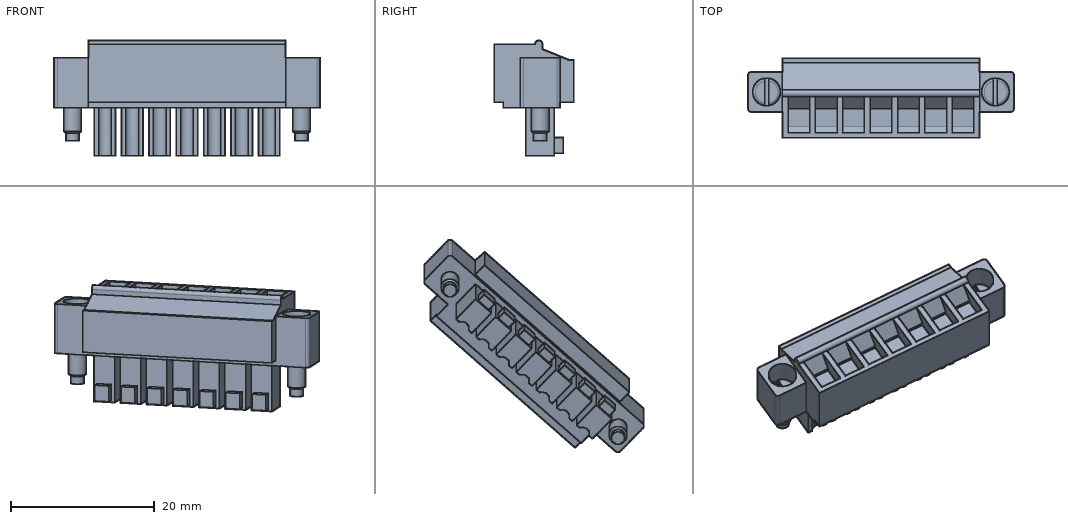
import cadquery as cq

OVERLAP = 0.2

TOTAL_LENGTH = 37.05
BLOCK_LENGTH = 27.45
BLOCK_FRONT = -6.4
BLOCK_BACK = 4.7
BLOCK_TOP = 8.9
UNDERCUT_HEIGHT = 0.78
FOOT_FRONT = -5.15

LEDGE_HEIGHT = 6.67
LEDGE_DEPTH = 0.63
SLOPE_TOP = 8.2
RIB_RADIUS = 0.52
RIB_Y = -0.2

FLANGE_WIDTH = 5.6
FLANGE_HEIGHT = 7.0
FLANGE_CORNER = 0.5

POLE_COUNT = 7
POLE_ROW_LENGTH = 22.85
POLE_PITCH = POLE_ROW_LENGTH / (POLE_COUNT - 1)
POLE_WIDTH = 3.0

FUNNEL_FRONT = -5.7
FUNNEL_FRONT_SLOPE = 0.93
FUNNEL_FRONT_RISE = 0.25
FUNNEL_BACK = RIB_Y - RIB_RADIUS
FUNNEL_BACK_SLOPE = 1.63
FUNNEL_SLOPE_BOTTOM = 7.05
FUNNEL_FLOOR = 6.65

LEG_DEPTH = 4.0
LEG_LENGTH = 6.67
GROOVE_RADIUS = 1.0
GROOVE_WIDTH = 1.78
LUG_WIDTH = 2.0
LUG_LENGTH = 1.22
LUG_HEIGHT = 2.22
LUG_BOTTOM = -6.35

SCREW_X = 15.95
HEAD_DIAMETER = 3.85
HEAD_HEIGHT = 1.5
HEAD_SEAT = 2.0
HEAD_ROUNDING = 0.35
DRIVE_WIDTH = 0.55
DRIVE_DEPTH = 0.75
SHANK_DIAMETER = 2.5
SHANK_BOTTOM = -3.25
TIP_DIAMETER = 1.85
TIP_TOP = -3.52
TIP_BOTTOM = -4.6

POLE_POSITIONS = [i * POLE_PITCH - POLE_ROW_LENGTH / 2 for i in range(POLE_COUNT)]
SCREW_POSITIONS = [-SCREW_X, SCREW_X]


def box(x_range, y_range, z_range):
    """Plain box between the given limits."""
    (x0, x1), (y0, y1), (z0, z1) = x_range, y_range, z_range
    return cq.Workplane("XY").box(x1 - x0, y1 - y0, z1 - z0, centered=False).translate((x0, y0, z0))


def cylinder(x, diameter, bottom, top):
    """Upright cylinder on a screw axis."""
    return cq.Workplane("XY", origin=(x, 0, bottom)).circle(diameter / 2).extrude(top - bottom)


def make_block():
    """Main block with lower steps, sloping rear and rounded rib, drawn in YZ."""
    foot_back = FLANGE_WIDTH / 2
    return (
        cq.Workplane("YZ")
        .moveTo(FOOT_FRONT, 0)
        .lineTo(FOOT_FRONT, UNDERCUT_HEIGHT)
        .lineTo(BLOCK_FRONT, UNDERCUT_HEIGHT)
        .lineTo(BLOCK_FRONT, BLOCK_TOP)
        .lineTo(RIB_Y - RIB_RADIUS, BLOCK_TOP)
        .threePointArc((RIB_Y, BLOCK_TOP + RIB_RADIUS), (RIB_Y + RIB_RADIUS, BLOCK_TOP))
        .lineTo(RIB_Y + RIB_RADIUS, SLOPE_TOP)
        .lineTo(BLOCK_BACK - LEDGE_DEPTH, LEDGE_HEIGHT)
        .lineTo(BLOCK_BACK, LEDGE_HEIGHT)
        .lineTo(BLOCK_BACK, UNDERCUT_HEIGHT)
        .lineTo(foot_back, UNDERCUT_HEIGHT)
        .lineTo(foot_back, 0)
        .close()
        .extrude(BLOCK_LENGTH / 2, both=True)
    )


def make_flanges():
    """Bar through the block whose round-cornered ends are the two flanges."""
    return (
        cq.Workplane("XY")
        .rect(TOTAL_LENGTH, FLANGE_WIDTH)
        .extrude(FLANGE_HEIGHT)
        .edges("|Z")
        .fillet(FLANGE_CORNER)
    )


def make_funnel(x):
    """Cutter for one wire funnel: steep rear slope, short drop, floor and front slope."""
    floor_front = FUNNEL_FRONT + FUNNEL_FRONT_SLOPE
    slope_foot = FUNNEL_BACK - FUNNEL_BACK_SLOPE
    return (
        cq.Workplane("YZ", origin=(x, 0, 0))
        .moveTo(FUNNEL_BACK, BLOCK_TOP)
        .lineTo(slope_foot, FUNNEL_SLOPE_BOTTOM)
        .lineTo(slope_foot, FUNNEL_FLOOR)
        .lineTo(floor_front, FUNNEL_FLOOR)
        .lineTo(FUNNEL_FRONT, FUNNEL_FLOOR + FUNNEL_FRONT_RISE)
        .lineTo(FUNNEL_FRONT, BLOCK_TOP)
        .close()
        .extrude(POLE_WIDTH / 2, both=True)
    )


def make_leg(x):
    """Leg with a round groove down its front and a lug low on its back."""
    x_range = (x - POLE_WIDTH / 2, x + POLE_WIDTH / 2)
    half_depth = LEG_DEPTH / 2
    leg = box(x_range, (-half_depth, half_depth), (-LEG_LENGTH, OVERLAP))
    lug = box(
        (x - LUG_WIDTH / 2, x + LUG_WIDTH / 2),
        (half_depth - OVERLAP, half_depth + LUG_LENGTH),
        (LUG_BOTTOM, LUG_BOTTOM + LUG_HEIGHT),
    )
    axis_offset = (GROOVE_RADIUS**2 - (GROOVE_WIDTH / 2) ** 2) ** 0.5
    groove = (
        cq.Workplane("XY", origin=(x, -half_depth - axis_offset, -LEG_LENGTH))
        .circle(GROOVE_RADIUS)
        .extrude(LEG_LENGTH)
    )
    return leg.union(lug).cut(groove)


def make_housing():
    """One-piece housing: block, flanges and legs, with funnels and screw holes cut in."""
    housing = make_block().union(make_flanges())
    for x in POLE_POSITIONS:
        housing = housing.union(make_leg(x)).cut(make_funnel(x))
    for x in SCREW_POSITIONS:
        housing = housing.cut(cylinder(x, HEAD_DIAMETER, HEAD_SEAT, FLANGE_HEIGHT))
        housing = housing.cut(cylinder(x, SHANK_DIAMETER, 0, HEAD_SEAT))
    return housing


def make_screw(x):
    """Slotted screw: rounded head, shank, conical shoulder and thin tip."""
    head_top = HEAD_SEAT + HEAD_HEIGHT
    head_radius = HEAD_DIAMETER / 2
    shank_radius = SHANK_DIAMETER / 2
    tip_radius = TIP_DIAMETER / 2
    body = (
        cq.Workplane("XZ")
        .moveTo(0, TIP_BOTTOM)
        .lineTo(tip_radius, TIP_BOTTOM)
        .lineTo(tip_radius, TIP_TOP)
        .lineTo(shank_radius, SHANK_BOTTOM)
        .lineTo(shank_radius, HEAD_SEAT)
        .lineTo(head_radius, HEAD_SEAT)
        .lineTo(head_radius, head_top - HEAD_ROUNDING)
        .radiusArc((head_radius - HEAD_ROUNDING, head_top), -HEAD_ROUNDING)
        .lineTo(0, head_top)
        .close()
        .revolve(360, (0, 0), (0, 1))
    )
    drive_slot = box(
        (-DRIVE_WIDTH / 2, DRIVE_WIDTH / 2),
        (-head_radius, head_radius),
        (head_top - DRIVE_DEPTH, head_top),
    )
    return body.cut(drive_slot).translate((x, 0, 0))


housing = make_housing()
screws = [make_screw(x) for x in SCREW_POSITIONS]

result = cq.Compound.makeCompound([housing.val(), *[screw.val() for screw in screws]])